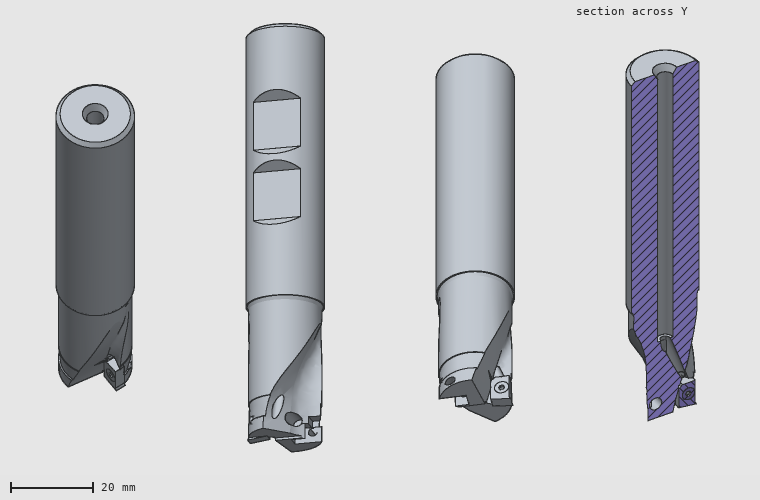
import cadquery as cq
import math

TOTAL_LENGTH = 103.8
SHANK_RADIUS = 9.5
SHANK_BOTTOM = 34.0
SHANK_CHAMFER = 1.0
FLAT_Y = 7.5
FLAT_LENGTH = 12.2
FLAT_PITCH = 18.1
UPPER_FLAT_CENTRE = 78.5

NECK_RADIUS = 8.9
COLLAR_RADIUS = 9.2
COLLAR_LENGTH = 1.0
STEP_TOP = 8.9
STEP_TOP_RADIUS = 8.7
STEP_BOTTOM_RADIUS = 8.5
BAND_HEIGHT = 3.8
BAND_RADIUS = 8.9

FLUTE_HEIGHTS = (-1.0, STEP_TOP, 14.5, 22.5, 31.8)
WALL_EDGE_Y = (0.8, 0.9, 1.6, 3.5, 3.9)
INSERT_VALLEY = ((2.2, 0.3), (4.7, 0.3), (6.3, -0.4), (8.2, 1.0), (9.2, 1.9))
INSERT_SIDE_END_X = (-0.2, 3.3, 5.4, 7.7, 9.5)
SEAT_VALLEY = ((2.0, -3.0), (2.5, -3.0), (3.5, -2.8), (6.5, -1.5), (9.2, 1.9))
SEAT_SIDE_END_X = (-8.9, -5.2, 1.0, 8.1, 10.0)
WALL_HOLLOW = 0.15
FLUTE_REACH = 14.5

BORE_RADIUS = 2.1
BORE_MOUTH_RADIUS = 3.1
BORE_BOTTOM = 22.8
CENTRE_CONE_ANGLE = 60.0
BRANCH_RADIUS = 1.2
SEAT_BRANCH_EXIT = (0.2, 6.7, 5.0)
INSERT_BRANCH_EXIT = (5.6, 1.2, 8.4)
HOLE_OVERRUN = 2.1

INSERT_INNER_X = 3.8
INSERT_OUTER_X = 8.4
INSERT_TIP_X = 8.8
INSERT_TOP = 7.4
INSERT_FACE_Y = -0.2
INSERT_THICKNESS = 2.7
INSERT_TIP_HEIGHT = 0.6
INSERT_INNER_BASE = 0.6
INSERT_CORNER_NOTCH = 0.9
SCREW_X = 6.5
SCREW_Z = 3.9
SCREW_HEAD_RADIUS = 1.8
SCREW_HEAD_DEPTH = 1.2
SCREW_SHAFT_RADIUS = 1.0
SCREW_LENGTH = 5.7
SOCKET_RADIUS = 0.7
SOCKET_DEPTH = 0.7
POCKET_RELIEF_X = 5.6
POCKET_RELIEF_Z = 8.1
POCKET_RELIEF_RADIUS = 1.2

HEEL_CLEARANCE = 0.6
HEEL_START_Y = 0.5

SEAT_FLOOR_Y = -3.4
SEAT_INNER_X = -1.6
SEAT_HOLE_START = (-6.0, SEAT_FLOOR_Y, 2.7)
SEAT_HOLE_EXIT = (-4.7, -7.6, 1.7)
SEAT_HOLE_RADIUS = 1.0
GROOVE_Y = -4.3
GROOVE_INNER_X = -5.7
GROOVE_TOP = 5.7
SCALLOP_X = -2.7
SCALLOP_Z = 4.4
SCALLOP_RADIUS = 1.7
SCALLOP_END_Y = 4.0

BIG = 2 * FLUTE_REACH
OVERCUT = 1.0


def box(x_range, y_range, z_range):
    """Box between two limits along each axis."""
    sizes = [high - low for low, high in (x_range, y_range, z_range)]
    corner = (x_range[0], y_range[0], z_range[0])
    return cq.Workplane("XY").box(*sizes, centered=False).translate(corner)


def rod_along_y(x, z, radius, start_y, end_y):
    """Cylinder parallel to Y between start_y and end_y."""
    plane = cq.Plane((x, start_y, z), xDir=(1, 0, 0), normal=(0, 1, 0))
    return cq.Workplane(plane).circle(radius).extrude(end_y - start_y)


def inclined_hole(start, end, radius):
    """Cylinder from start toward end, running a little past end."""
    run = cq.Vector(*end) - cq.Vector(*start)
    length = run.Length + HOLE_OVERRUN
    return cq.Workplane(obj=cq.Solid.makeCylinder(radius, length, cq.Vector(*start), run))


def make_blank():
    """Turned profile of the holder before any milling."""
    profile = [
        (0, 0),
        (BAND_RADIUS, 0),
        (BAND_RADIUS, BAND_HEIGHT),
        (STEP_BOTTOM_RADIUS, BAND_HEIGHT),
        (STEP_TOP_RADIUS, STEP_TOP),
        (NECK_RADIUS, STEP_TOP),
        (NECK_RADIUS, SHANK_BOTTOM - COLLAR_LENGTH),
        (COLLAR_RADIUS, SHANK_BOTTOM),
        (SHANK_RADIUS, SHANK_BOTTOM),
        (SHANK_RADIUS, TOTAL_LENGTH - SHANK_CHAMFER),
        (SHANK_RADIUS - SHANK_CHAMFER, TOTAL_LENGTH),
        (0, TOTAL_LENGTH),
    ]
    return cq.Workplane("XZ").polyline(profile).close().revolve(360, (0, 0), (0, 1))


def make_clamping_flat(centre_z):
    """Trapezoidal cutter for one flat with 45 degree ends on the +Y side."""
    rise = SHANK_RADIUS - FLAT_Y + OVERCUT
    half = FLAT_LENGTH / 2
    outline = [
        (FLAT_Y, centre_z - half),
        (FLAT_Y, centre_z + half),
        (FLAT_Y + rise, centre_z + half + rise),
        (FLAT_Y + rise, centre_z - half - rise),
    ]
    return cq.Workplane("YZ").polyline(outline).close().extrude(SHANK_RADIUS, both=True)


def flute_section(height, wall_y, valley, side_end_x):
    """Wire of a flute at one height: hollow wall, valley and open side."""
    edge = (math.sqrt(NECK_RADIUS ** 2 - wall_y ** 2), wall_y)
    run_x = edge[0] - valley[0]
    run_y = edge[1] - valley[1]
    middle = (
        (edge[0] + valley[0]) / 2 - WALL_HOLLOW * run_y,
        (edge[1] + valley[1]) / 2 + WALL_HOLLOW * abs(run_x),
    )
    sketch = (
        cq.Workplane("XY", origin=(0, 0, height))
        .moveTo(FLUTE_REACH, wall_y)
        .lineTo(*edge)
        .threePointArc(middle, valley)
        .lineTo(side_end_x, -FLUTE_REACH)
        .lineTo(FLUTE_REACH, -FLUTE_REACH)
        .close()
    )
    return sketch.val()


def make_flute(valleys, side_ends):
    """Cutter that runs out of the head at its top."""
    sections = zip(FLUTE_HEIGHTS, WALL_EDGE_Y, valleys, side_ends)
    wires = [flute_section(*section) for section in sections]
    return cq.Workplane(obj=cq.Solid.makeLoft(wires))


def make_bore():
    """Central coolant bore with a conical mouth."""
    cone_depth = (BORE_MOUTH_RADIUS - BORE_RADIUS) / math.tan(math.radians(CENTRE_CONE_ANGLE / 2))
    profile = [
        (0, BORE_BOTTOM),
        (BORE_RADIUS, BORE_BOTTOM),
        (BORE_RADIUS, TOTAL_LENGTH - cone_depth),
        (BORE_MOUTH_RADIUS, TOTAL_LENGTH),
        (0, TOTAL_LENGTH),
    ]
    return cq.Workplane("XZ").polyline(profile).close().revolve(360, (0, 0), (0, 1))


def make_empty_seat():
    """Open seat with its relief groove, inclined screw hole and scallop."""
    recess = box((-BIG, SEAT_INNER_X), (SEAT_FLOOR_Y, 0), (-OVERCUT, BAND_HEIGHT))
    groove = box((-BIG, GROOVE_INNER_X), (GROOVE_Y, 0), (BAND_HEIGHT, GROOVE_TOP))
    hole = inclined_hole(SEAT_HOLE_START, SEAT_HOLE_EXIT, SEAT_HOLE_RADIUS)
    scallop = rod_along_y(SCALLOP_X, SCALLOP_Z, SCALLOP_RADIUS, SEAT_FLOOR_Y, SCALLOP_END_Y)
    return recess.union(groove).union(hole).union(scallop)


def insert_block():
    """Insert outline with a flared cutting tip and a cut upper inner corner."""
    outline = [
        (INSERT_INNER_X, INSERT_INNER_BASE),
        (INSERT_TIP_X, 0),
        (INSERT_OUTER_X, INSERT_TIP_HEIGHT),
        (INSERT_OUTER_X, INSERT_TOP),
        (INSERT_INNER_X + INSERT_CORNER_NOTCH, INSERT_TOP),
        (INSERT_INNER_X, INSERT_TOP - INSERT_CORNER_NOTCH),
    ]
    plane = cq.Plane((0, INSERT_FACE_Y, 0), xDir=(1, 0, 0), normal=(0, -1, 0))
    return cq.Workplane(plane).polyline(outline).close().extrude(-INSERT_THICKNESS)


def screw_blank():
    """Screw with a conical head flush with the insert face."""
    profile = [
        (0, 0),
        (SCREW_HEAD_RADIUS, 0),
        (SCREW_SHAFT_RADIUS, SCREW_HEAD_DEPTH),
        (SCREW_SHAFT_RADIUS, SCREW_LENGTH),
        (0, SCREW_LENGTH),
    ]
    turned = cq.Workplane("XY").polyline(profile).close().revolve(360, (0, 0), (0, 1))
    return turned.translate((SCREW_X, INSERT_FACE_Y, SCREW_Z))


def make_insert_pocket():
    """Pocket matching the insert, open at the bottom, outside and front."""
    floor_y = INSERT_FACE_Y + INSERT_THICKNESS
    pocket = box((INSERT_INNER_X, BIG), (-BIG, floor_y), (-OVERCUT, INSERT_TOP))
    relief = rod_along_y(POCKET_RELIEF_X, POCKET_RELIEF_Z, POCKET_RELIEF_RADIUS, -OVERCUT, floor_y)
    return pocket.union(relief)


def make_heel_clearance():
    """Shallow step that lifts the end face over the +Y half."""
    return box((-BIG, BIG), (HEEL_START_Y, BIG), (-OVERCUT, HEEL_CLEARANCE))


def make_holder():
    """Shank and head with flats, flutes, coolant holes and both seats."""
    holder = make_blank()
    for index in range(2):
        holder = holder.cut(make_clamping_flat(UPPER_FLAT_CENTRE - index * FLAT_PITCH))
    holder = holder.cut(make_flute(INSERT_VALLEY, INSERT_SIDE_END_X))
    seat_flute = make_flute(SEAT_VALLEY, SEAT_SIDE_END_X)
    holder = holder.cut(seat_flute.rotate((0, 0, 0), (0, 0, 1), 180))
    holder = holder.cut(make_bore())
    for exit_point in (SEAT_BRANCH_EXIT, INSERT_BRANCH_EXIT):
        holder = holder.cut(inclined_hole((0, 0, BORE_BOTTOM), exit_point, BRANCH_RADIUS))
    holder = holder.cut(make_empty_seat())
    holder = holder.cut(make_heel_clearance())
    return holder.cut(make_insert_pocket()).cut(screw_blank())


def make_insert():
    """Cutting insert with its countersunk screw hole."""
    return insert_block().cut(screw_blank())


def make_screw():
    """Clamping screw with a hexagonal socket."""
    plane = cq.Plane((SCREW_X, INSERT_FACE_Y, SCREW_Z), xDir=(1, 0, 0), normal=(0, 1, 0))
    socket = cq.Workplane(plane).polygon(6, 2 * SOCKET_RADIUS).extrude(SOCKET_DEPTH)
    return screw_blank().cut(socket)


holder = make_holder()
insert = make_insert()
screw = make_screw()

result = cq.Compound.makeCompound([holder.val(), insert.val(), screw.val()])